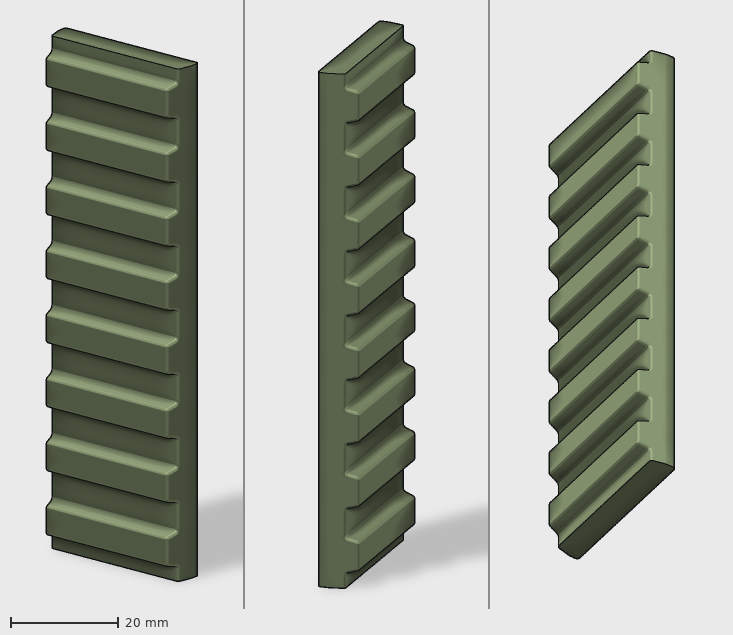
import cadquery as cq
import math

LENGTH = 101.6
WIDTH = 31.75
DEPTH = 7.75

BACK_EDGE_RADIUS = 0.635
STRAIGHT_SIDE_END = 1.6
BLEND_RADIUS = 3.175
SIDE_DRAFT = math.radians(13)

RIB_COUNT = 8
RIB_HEIGHT = 2.54
FLANK_DRAFT = math.radians(15)
ROOT_RADIUS = 0.635
FRONT_EDGE_RADIUS = 0.635

half_width = WIDTH / 2
half_length = LENGTH / 2
pitch = LENGTH / RIB_COUNT
land_y = RIB_HEIGHT - DEPTH
half_flank_run = RIB_HEIGHT / 2 * math.tan(FLANK_DRAFT)
half_crest = pitch / 4 - half_flank_run
half_base = pitch / 4 + half_flank_run

MARGIN = 0.01


def blend_point(angle):
    """Point on the +X side blend arc, at the given angle from the straight side."""
    x = half_width - BLEND_RADIUS * (1 - math.cos(angle))
    y = -STRAIGHT_SIDE_END - BLEND_RADIUS * math.sin(angle)
    return x, y


def mirrored(point):
    """The matching point on the -X side."""
    return -point[0], point[1]


def drafted_bar():
    """Full-depth bar that narrows toward the rib crests, with rounded back edges."""
    straight_end = blend_point(0)
    blend_middle = blend_point(SIDE_DRAFT / 2)
    blend_end = blend_point(SIDE_DRAFT)
    draft_run = (DEPTH + blend_end[1]) * math.tan(SIDE_DRAFT)
    front_corner = (blend_end[0] - draft_run, -DEPTH)
    return (
        cq.Workplane("XY")
        .moveTo(-half_width, 0)
        .lineTo(half_width, 0)
        .lineTo(*straight_end)
        .threePointArc(blend_middle, blend_end)
        .lineTo(*front_corner)
        .lineTo(*mirrored(front_corner))
        .lineTo(*mirrored(blend_end))
        .threePointArc(mirrored(blend_middle), mirrored(straight_end))
        .close()
        .extrude(half_length, both=True)
        .faces(">Y")
        .edges("|Z")
        .fillet(BACK_EDGE_RADIUS)
    )


def front_zone(front_y):
    """Picks edges between front_y and the lands, leaving out those on the two end faces."""
    return cq.selectors.BoxSelector(
        (-WIDTH, front_y - MARGIN, MARGIN - half_length),
        (WIDTH, land_y + MARGIN, half_length - MARGIN),
    )


def ribbed_slab():
    """Full-width slab with the rib profile, rounded at the rib roots."""
    outline = [(0, -half_length), (land_y, -half_length)]
    for rib in range(RIB_COUNT):
        middle = (rib + 0.5) * pitch - half_length
        outline += [
            (land_y, middle - half_base),
            (-DEPTH, middle - half_crest),
            (-DEPTH, middle + half_crest),
            (land_y, middle + half_base),
        ]
    outline += [(land_y, half_length), (0, half_length)]
    slab = cq.Workplane("YZ").polyline(outline).close().extrude(half_width, both=True)
    return slab.edges("|X").edges(front_zone(land_y)).fillet(ROOT_RADIUS)


def round_front_edges(body):
    """Round the rib crests and the side edges that run along lands, roots and flanks."""
    crest_edges = body.faces("<Y").edges("|X")
    side_edges = body.edges(front_zone(-DEPTH)).edges("not |X")
    rounded_edges = crest_edges.vals() + side_edges.vals()
    return body.newObject(rounded_edges).fillet(FRONT_EDGE_RADIUS)


result = round_front_edges(drafted_bar().intersect(ribbed_slab()))